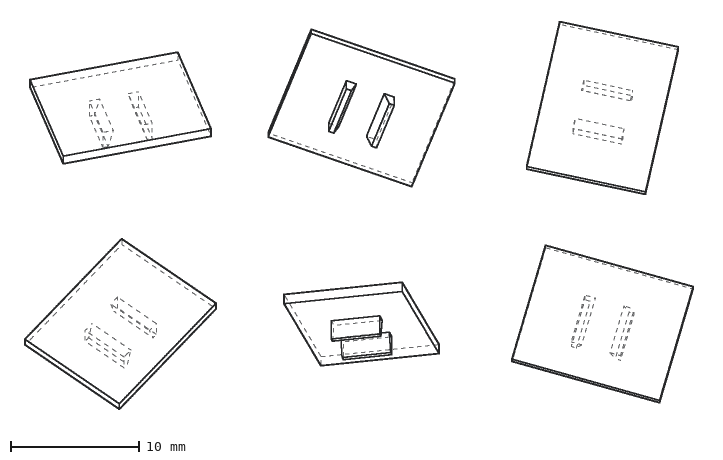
import cadquery as cq

plate_width = 9.5
plate_length = 12.0
total_height = 2.36
plate_thickness = 0.8

leg_height = total_height - plate_thickness
leg_width = 3.9
leg_outer_span = 4.0
leg_root_thickness = 0.84
leg_tip_thickness = 0.42


def make_plate():
    return cq.Workplane("XY").box(
        plate_width, plate_length, plate_thickness, centered=(True, True, False)
    )


def make_leg(side):
    """Leg on the +Y (side = 1) or -Y (side = -1) half: upright outside, sloping inside."""
    outer = leg_outer_span / 2
    profile = [
        (side * outer, 0),
        (side * outer, -leg_height),
        (side * (outer - leg_tip_thickness), -leg_height),
        (side * (outer - leg_root_thickness), 0),
    ]
    return cq.Workplane("YZ").polyline(profile).close().extrude(leg_width / 2, both=True)


result = make_plate()
for side in (-1, 1):
    result = result.union(make_leg(side))